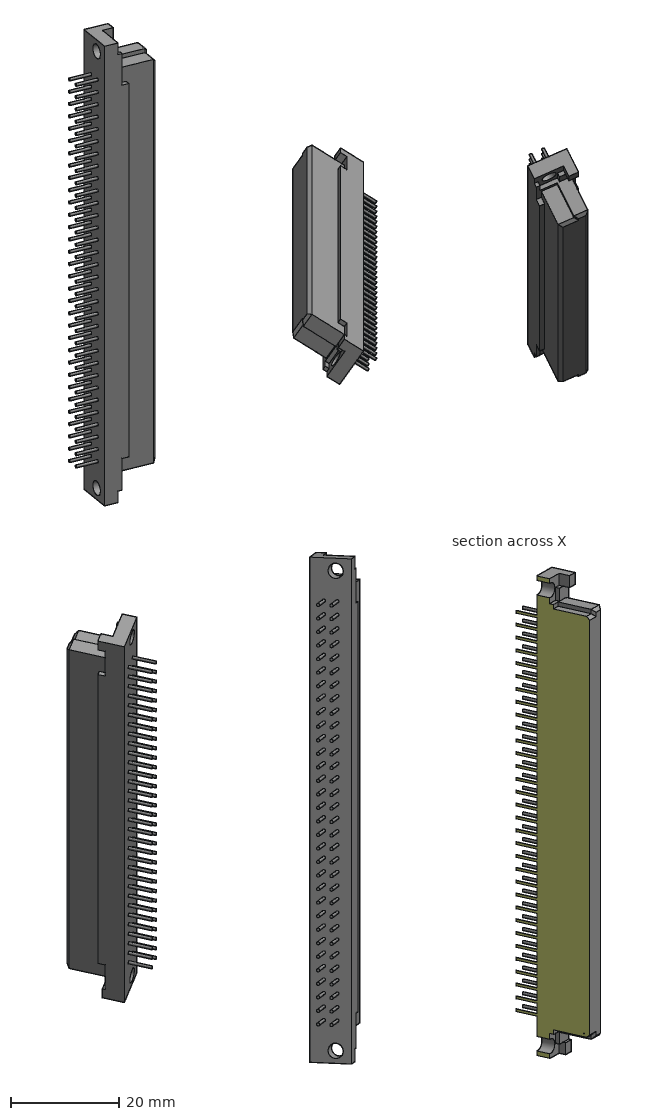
import cadquery as cq

WIDTH = 8.0
LENGTH = 94.9
RAIL_HEIGHT = 5.1
SEAT_HEIGHT = 3.7
RIM_HEIGHT = 2.8
RAIL_END_INSET = 8.9

EAR_WIDTH = 2.0
EAR_LENGTH = 2.4
TOP_EAR_HEIGHT = RAIL_HEIGHT
BOTTOM_EAR_HEIGHT = 4.3

HOLE_DIAMETER = 2.8
HOLE_X = 0.95
HOLE_END_INSET = 2.4
RECESS_LEFT = -0.8
RECESS_RIGHT = 3.2

BLOCK_TOP = 11.6
BLOCK_LEFT = -3.1
BLOCK_RIGHT = 2.9
BLOCK_END_INSET = 4.9
STEP_X = -0.3
STEP_DEPTH = 0.9
BEVEL = 0.7

PIN_DIAMETER = 0.6
PIN_LENGTH = 4.6
PIN_EMBED = 0.95
PIN_ROWS = 32
PIN_ROWS_SPAN = 78.8
PIN_PITCH = PIN_ROWS_SPAN / (PIN_ROWS - 1)
PIN_COLUMNS = 2

HALF_WIDTH = WIDTH / 2
HALF_LENGTH = LENGTH / 2


def box(x_min, x_max, y_min, y_max, z_min, z_max):
    """Box between the given limits."""
    size = (x_max - x_min, y_max - y_min, z_max - z_min)
    return cq.Workplane("XY").box(*size, centered=False).translate((x_min, y_min, z_min))


def plane_at(y):
    """Sketch plane facing +Y, with local x = -X and local y = Z."""
    return cq.Workplane(cq.Plane(origin=(0, y, 0), xDir=(-1, 0, 0), normal=(0, 1, 0)))


def make_base():
    """Strip with a raised middle, lower seats at both ends and an ear in each end corner."""
    rail_end = HALF_LENGTH - RAIL_END_INSET
    seat_end = HALF_LENGTH - EAR_LENGTH
    ear_right = -HALF_WIDTH + EAR_WIDTH
    base = box(-HALF_WIDTH, HALF_WIDTH, 0, RIM_HEIGHT, -HALF_LENGTH, HALF_LENGTH)
    base = base.union(box(-HALF_WIDTH, HALF_WIDTH, 0, SEAT_HEIGHT, -seat_end, seat_end))
    base = base.union(box(-HALF_WIDTH, HALF_WIDTH, 0, RAIL_HEIGHT, -rail_end, rail_end))
    top_ear = box(-HALF_WIDTH, ear_right, 0, TOP_EAR_HEIGHT, seat_end, HALF_LENGTH)
    bottom_ear = box(-HALF_WIDTH, ear_right, 0, BOTTOM_EAR_HEIGHT, -HALF_LENGTH, -seat_end)
    return base.union(top_ear).union(bottom_ear)


def bevelled_block(right, end):
    """Bevelled block from BLOCK_LEFT to right in X and from -end to end in Z."""
    return box(BLOCK_LEFT, right, 0, BLOCK_TOP, -end, end).faces(">Y").chamfer(BEVEL)


def make_block():
    """Mating block, longer on its -X side than on its +X side."""
    long_end = HALF_LENGTH - BLOCK_END_INSET
    long_part = bevelled_block(STEP_X, long_end)
    wide_part = bevelled_block(BLOCK_RIGHT, long_end - STEP_DEPTH)
    return long_part.union(wide_part)


def make_recesses():
    """Flat-bottomed recess across each seat, from the strip end to the end face of the block."""
    block_end = HALF_LENGTH - BLOCK_END_INSET
    top_recess = box(RECESS_LEFT, RECESS_RIGHT, RIM_HEIGHT, SEAT_HEIGHT, block_end, HALF_LENGTH)
    return top_recess.union(top_recess.mirror("XY"))


def make_holes():
    """Round mounting hole through the floor of each recess."""
    hole_z = HALF_LENGTH - HOLE_END_INSET
    centres = [(-HOLE_X, hole_z), (-HOLE_X, -hole_z)]
    return plane_at(0).pushPoints(centres).circle(HOLE_DIAMETER / 2).extrude(RIM_HEIGHT)


def make_pins():
    """Two columns of round pins pointing to -Y."""
    pins = plane_at(-PIN_LENGTH).rarray(PIN_PITCH, PIN_PITCH, PIN_COLUMNS, PIN_ROWS)
    return pins.circle(PIN_DIAMETER / 2).extrude(PIN_LENGTH + PIN_EMBED)


base = make_base().cut(make_recesses()).cut(make_holes())

result = base.union(make_block()).union(make_pins())